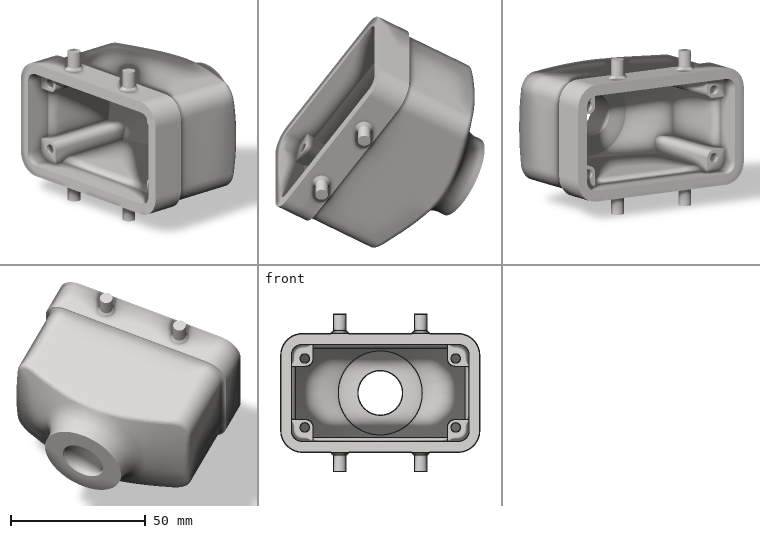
import cadquery as cq
import math

LENGTH = 74.0
HEIGHT = 44.2
DEPTH = 59.0
FLANGE_DEPTH = 12.7
FLANGE_RADIUS = 8.15

BODY_STEP = 1.55
BODY_HEIGHT = 40.9
BODY_COVE = 1.5
CROWN_ROUND = 1.8

NECK_RADIUS = 31.2 / 2
BORE_RADIUS = 16.5 / 2
CONE_ANGLE = math.radians(23.6)
FLARE_RADIUS = 8.0
FLARE_START = 56.4

MOUTH_LENGTH = 66.1
MOUTH_HEIGHT = 36.05
MOUTH_DEPTH = 10.1
MOUTH_RADIUS = 4.0
LIP_STEP = 1.5
LIP_DEPTH = 3.9

POST_INNER_X = 25.0
POST_INNER_Z = 9.9
POST_RADIUS = 2.7
POST_START = 6.6
SCREW_HOLE_DIAMETER = 3.5
SCREW_HOLE_X = 28.05
SCREW_HOLE_Z = 12.8

PIN_DIAMETER = 4.7
PIN_X = 15.0
PIN_Y = 6.65
PIN_TIP_Z = 58.5 / 2
COLLAR_HEIGHT = 1.0

BODY_LENGTH = LENGTH - 2 * BODY_STEP
BODY_RADIUS = FLANGE_RADIUS - BODY_STEP
INNER_LENGTH = MOUTH_LENGTH - 2 * LIP_STEP
INNER_HEIGHT = MOUTH_HEIGHT - 2 * LIP_STEP
INNER_RADIUS = MOUTH_RADIUS - LIP_STEP
WALL = (BODY_LENGTH - INNER_LENGTH) / 2
FLARE_END_RADIUS = NECK_RADIUS + FLARE_RADIUS * (1 - math.sin(CONE_ANGLE))
FLARE_END_Y = FLARE_START - FLARE_RADIUS * math.cos(CONE_ANGLE)
REACH = LENGTH


def cone_y(radius):
    """Y of the outer conical back at a distance from the axis."""
    return FLARE_END_Y - (radius - FLARE_END_RADIUS) * math.tan(CONE_ANGLE)


def inner_cone_y(radius):
    """Y of the conical cavity end, one wall thickness inside the back."""
    return cone_y(radius) - WALL / math.cos(CONE_ANGLE)


def plane_at(y):
    """Workplane across the Y axis whose extrusions run along +Y."""
    return cq.Workplane(cq.Plane(origin=(0, y, 0), xDir=(1, 0, 0), normal=(0, 1, 0)))


def rounded_block(length, height, radius, start, end):
    """Block along Y with its four long edges rounded."""
    return plane_at(start).rect(length, height).extrude(end - start).edges("|Y").fillet(radius)


def turned(outline):
    """Turn a closed XY outline about the Y axis."""
    return outline.close().revolve(360, (0, 0, 0), (0, 1, 0))


def carried_round(profile, length, height, radius, y):
    """Sweep a closed YZ profile around a rounded rectangle lying across Y."""
    outline = rounded_block(length, height, radius, y, DEPTH).faces("<Y").wires().val()
    return profile.close().sweep(cq.Workplane(outline), transition="round")


def make_cove():
    """Concave fillet between the body walls and the back face of the flange."""
    wall_z = BODY_HEIGHT / 2
    arc_inset = BODY_COVE * (1 - math.sqrt(0.5))
    profile = (
        cq.Workplane("YZ")
        .moveTo(FLANGE_DEPTH, wall_z)
        .lineTo(FLANGE_DEPTH, wall_z + BODY_COVE)
        .threePointArc(
            (FLANGE_DEPTH + arc_inset, wall_z + arc_inset),
            (FLANGE_DEPTH + BODY_COVE, wall_z),
        )
    )
    return carried_round(profile, BODY_LENGTH, BODY_HEIGHT, BODY_RADIUS, FLANGE_DEPTH)


def make_back_envelope():
    """Solid of revolution that shapes the conical back, the flare and the neck."""
    half_turn = (math.pi / 2 - CONE_ANGLE) / 2
    flare_middle = (
        NECK_RADIUS + FLARE_RADIUS * (1 - math.cos(half_turn)),
        FLARE_START - FLARE_RADIUS * math.sin(half_turn),
    )
    return turned(
        cq.Workplane("XY")
        .lineTo(REACH, 0)
        .lineTo(REACH, cone_y(REACH))
        .lineTo(FLARE_END_RADIUS, FLARE_END_Y)
        .threePointArc(flare_middle, (NECK_RADIUS, FLARE_START))
        .lineTo(NECK_RADIUS, DEPTH)
        .lineTo(0, DEPTH)
    )


def make_shell():
    """Outer shape: flange, body with conical back, flare and neck."""
    flange = rounded_block(LENGTH, HEIGHT, FLANGE_RADIUS, 0, FLANGE_DEPTH)
    body = rounded_block(BODY_LENGTH, BODY_HEIGHT, BODY_RADIUS, 0, DEPTH)
    body = body.intersect(make_back_envelope())
    body = body.edges("%HYPERBOLA or %BSPLINE").fillet(CROWN_ROUND)
    return flange.union(body).union(make_cove())


def make_lip_relief():
    """Space that the curved lip leaves free between mouth and narrow cavity."""
    arc_radius = (LIP_DEPTH**2 + LIP_STEP**2) / (2 * LIP_STEP)
    half_angle = math.asin(LIP_DEPTH / arc_radius) / 2
    lip_end = MOUTH_DEPTH + LIP_DEPTH
    inner_z = INNER_HEIGHT / 2
    arc_middle = (
        lip_end - arc_radius * math.sin(half_angle),
        inner_z + arc_radius * (1 - math.cos(half_angle)),
    )
    profile = (
        cq.Workplane("YZ")
        .moveTo(MOUTH_DEPTH, inner_z)
        .lineTo(MOUTH_DEPTH, inner_z + LIP_STEP)
        .threePointArc(arc_middle, (lip_end, inner_z))
    )
    return carried_round(profile, INNER_LENGTH, INNER_HEIGHT, INNER_RADIUS, MOUTH_DEPTH)


def make_cavity():
    """Hollow inside of the housing, without the corner posts."""
    mouth = rounded_block(MOUTH_LENGTH, MOUTH_HEIGHT, MOUTH_RADIUS, 0, MOUTH_DEPTH)
    inner = rounded_block(INNER_LENGTH, INNER_HEIGHT, INNER_RADIUS, 0, DEPTH)
    end_y = inner_cone_y(NECK_RADIUS)
    inner_end = turned(
        cq.Workplane("XY")
        .lineTo(REACH, 0)
        .lineTo(REACH, inner_cone_y(REACH))
        .lineTo(NECK_RADIUS, end_y)
        .lineTo(0, end_y)
    )
    return mouth.union(inner.intersect(inner_end)).union(make_lip_relief())


def make_post(side_x, side_z):
    """Corner post with its screw hole, reaching past the walls and the cavity end."""
    size_x = (BODY_LENGTH + MOUTH_LENGTH) / 4 - POST_INNER_X
    size_z = (BODY_HEIGHT + MOUTH_HEIGHT) / 4 - POST_INNER_Z
    center_x = side_x * (POST_INNER_X + size_x / 2)
    center_z = side_z * (POST_INNER_Z + size_z / 2)
    post = (
        cq.Workplane("XY")
        .box(size_x, DEPTH - POST_START, size_z)
        .translate((center_x, (DEPTH + POST_START) / 2, center_z))
    )
    inner_face_x = "<X" if side_x > 0 else ">X"
    inner_edge_z = "<Z" if side_z > 0 else ">Z"
    post = post.faces(inner_face_x).edges(inner_edge_z).fillet(POST_RADIUS)
    hole = (
        plane_at(0)
        .circle(SCREW_HOLE_DIAMETER / 2)
        .extrude(DEPTH)
        .translate((side_x * SCREW_HOLE_X, 0, side_z * SCREW_HOLE_Z))
    )
    return post.cut(hole)


def make_housing():
    """Hollow hood with four corner posts and a cable bore through the neck."""
    cavity = make_cavity()
    for side_x in (-1, 1):
        for side_z in (-1, 1):
            cavity = cavity.cut(make_post(side_x, side_z))
    bore = plane_at(0).circle(BORE_RADIUS).extrude(DEPTH)
    return make_shell().cut(cavity).cut(bore)


def make_pin(x, side_z):
    """Locking pin with a conical collar standing on the flange."""
    foot_z = HEIGHT / 2
    pin_radius = PIN_DIAMETER / 2
    pin = (
        cq.Workplane("XZ")
        .moveTo(0, foot_z)
        .lineTo(pin_radius + COLLAR_HEIGHT, foot_z)
        .lineTo(pin_radius, foot_z + COLLAR_HEIGHT)
        .lineTo(pin_radius, PIN_TIP_Z)
        .lineTo(0, PIN_TIP_Z)
        .close()
        .revolve(360, (0, 0, 0), (0, 1, 0))
    )
    if side_z < 0:
        pin = pin.mirror("XY")
    return pin.translate((x, PIN_Y, 0))


housing = make_housing()
pins = []
for pin_x in (-PIN_X, PIN_X):
    for pin_side in (-1, 1):
        pins.append(make_pin(pin_x, pin_side).val())

result = cq.Compound.makeCompound([housing.val(), *pins])